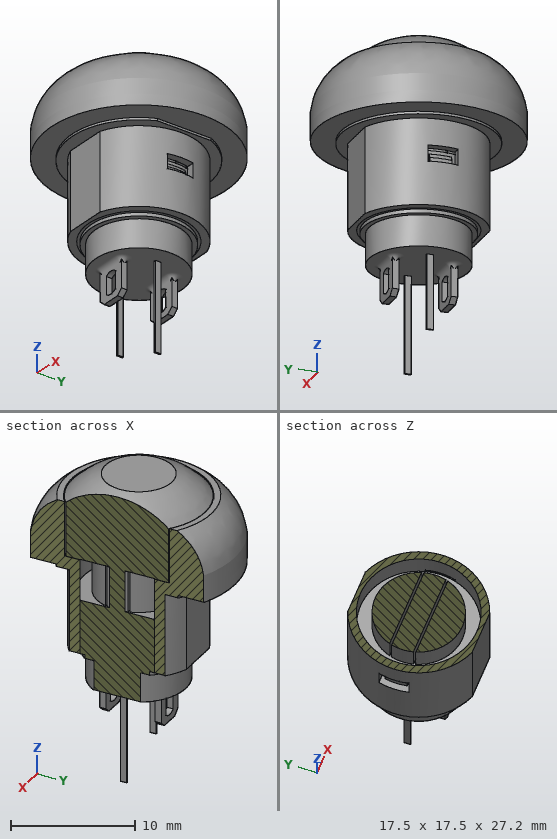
import cadquery as cq

TOP_Z = 27.2
RIM_Z = 25.21
BUTTON_EDGE_Z = 25.15
DOME_BASE_Z = 21.68
SEAM_Z = 20.2
BEZEL_BOTTOM_Z = 19.2
FLANGE_BOTTOM_Z = 18.99
WINDOW_TOP_Z = 16.67
INSERT_TOP_Z = 16.48
HOOK_TOP_Z = 16.18
HOOK_RAMP_BOTTOM_Z = 15.83
WINDOW_BOTTOM_Z = 15.3
BARREL_BOTTOM_Z = 11.5
COLLAR_BOTTOM_Z = 11.18
BASE_Z = 8.5
TAB_BOTTOM_Z = 5.1
SHORT_LEAD_BOTTOM_Z = 2.0

BEZEL_RADIUS = 17.5 / 2
RIM_RADIUS = 6.6
DOME_MID_RADIUS = 8.05
DOME_MID_Z = 23.7
BUTTON_WELL_RADIUS = 12.1 / 2
FLANGE_RADIUS = 6.7
FLANGE_FLAT_X = 6.12
BARREL_RADIUS = 5.75
BARREL_FLAT_Y = 5.39
BORE_RADIUS = 10.0 / 2
WINDOW_WIDTH = 2.58

BUTTON_RADIUS = 12.0 / 2
BUTTON_MID_RADIUS = 4.68
BUTTON_MID_Z = 26.33
BUTTON_FLAT_RADIUS = 3.02
LENS_RADIUS = 2.6 / 2
NECK_RADIUS = 7.55 / 2
NECK_SLIT_WIDTH = 0.15
NECK_SLIT_Y = 1.03
COLLAR_RADIUS = 9.5 / 2
BASE_RADIUS = 8.6 / 2
HOOK_RADIUS = 5.17
HOOK_WIDTH = 1.9

TERMINAL_OFFSET = 2.53
TERMINAL_WIDTH = 0.57
LEAD_THICKNESS = 0.15
TAB_WIDTH = 2.88
TAB_CORNER_X = 0.55
TAB_CORNER_Z = 0.5
EYE_WIDTH = 1.22
EYE_TOP_Z = 7.8
EYE_BOTTOM_Z = 5.68
EYE_ARC_RISE = 0.22
ROOT_FILLET = 0.55
ROOT_HEIGHT = 0.57
ROOT_PAD_HEIGHT = 0.27
SELECTION_MARGIN = 0.03


def centred_box(size_x, size_y, bottom_z, top_z, x=0.0, y=0.0):
    """Upright box centred on (x, y) between two heights."""
    height = top_z - bottom_z
    box = cq.Workplane("XY").box(size_x, size_y, height, centered=(True, True, False))
    return box.translate((x, y, bottom_z))


def cylinder(radius, bottom_z, top_z):
    """Cylinder on the switch axis between two heights."""
    return cq.Workplane("XY").workplane(offset=bottom_z).circle(radius).extrude(top_z - bottom_z)


def revolve_profile(profile):
    """Turn a closed half profile about the switch axis, keeping the seams between flush faces."""
    return profile.revolve(360, (0, 0, 0), (0, 1, 0), clean=False)


def make_bezel():
    """Domed ring around the button; the seam divides its straight side into two bands."""
    profile = (
        cq.Workplane("XZ")
        .moveTo(0, BEZEL_BOTTOM_Z)
        .lineTo(BEZEL_RADIUS, BEZEL_BOTTOM_Z)
        .lineTo(BEZEL_RADIUS, SEAM_Z)
        .lineTo(BEZEL_RADIUS, DOME_BASE_Z)
        .threePointArc((DOME_MID_RADIUS, DOME_MID_Z), (RIM_RADIUS, RIM_Z))
        .lineTo(0, RIM_Z)
        .close()
    )
    return revolve_profile(profile)


def make_flange():
    """Thin disc under the bezel with a locating flat on +X."""
    disc = cylinder(FLANGE_RADIUS, FLANGE_BOTTOM_Z, BEZEL_BOTTOM_Z)
    span = 2 * FLANGE_RADIUS
    keep = centred_box(span, span, FLANGE_BOTTOM_Z, BEZEL_BOTTOM_Z, x=FLANGE_FLAT_X - FLANGE_RADIUS)
    return disc.intersect(keep)


def make_barrel():
    """Barrel with two opposite flats."""
    barrel = cylinder(BARREL_RADIUS, BARREL_BOTTOM_Z, FLANGE_BOTTOM_Z)
    keep = centred_box(2 * BARREL_RADIUS, 2 * BARREL_FLAT_Y, BARREL_BOTTOM_Z, FLANGE_BOTTOM_Z)
    return barrel.intersect(keep)


def make_housing():
    """Hollow shell with a button well, an insert bore and a snap window on each X side."""
    bore = cylinder(BORE_RADIUS, BARREL_BOTTOM_Z, SEAM_Z)
    well = cylinder(BUTTON_WELL_RADIUS, SEAM_Z, RIM_Z)
    windows = centred_box(2 * FLANGE_RADIUS, WINDOW_WIDTH, WINDOW_BOTTOM_Z, WINDOW_TOP_Z)
    shell = make_bezel().union(make_flange(), clean=False).union(make_barrel(), clean=False)
    return shell.cut(bore, clean=False).cut(well, clean=False).cut(windows, clean=False)


def make_core_body():
    """Turned shape of button, neck and insert; the lens is flush with the button's flat top."""
    profile = (
        cq.Workplane("XZ")
        .moveTo(0, BASE_Z)
        .lineTo(BASE_RADIUS, BASE_Z)
        .lineTo(BASE_RADIUS, COLLAR_BOTTOM_Z)
        .lineTo(COLLAR_RADIUS, COLLAR_BOTTOM_Z)
        .lineTo(COLLAR_RADIUS, BARREL_BOTTOM_Z)
        .lineTo(BORE_RADIUS, BARREL_BOTTOM_Z)
        .lineTo(BORE_RADIUS, INSERT_TOP_Z)
        .lineTo(NECK_RADIUS, INSERT_TOP_Z)
        .lineTo(NECK_RADIUS, SEAM_Z)
        .lineTo(BUTTON_RADIUS, SEAM_Z)
        .lineTo(BUTTON_RADIUS, BUTTON_EDGE_Z)
        .threePointArc((BUTTON_MID_RADIUS, BUTTON_MID_Z), (BUTTON_FLAT_RADIUS, TOP_Z))
        .lineTo(LENS_RADIUS, TOP_Z)
        .lineTo(0, TOP_Z)
        .close()
    )
    return revolve_profile(profile)


def make_hooks():
    """Pair of snap hooks on the insert, ramped on top and resting on the window sills."""
    profile = (
        cq.Workplane("XZ")
        .moveTo(0, WINDOW_BOTTOM_Z)
        .lineTo(HOOK_RADIUS, WINDOW_BOTTOM_Z)
        .lineTo(HOOK_RADIUS, HOOK_RAMP_BOTTOM_Z)
        .lineTo(BORE_RADIUS, HOOK_TOP_Z)
        .lineTo(0, HOOK_TOP_Z)
        .close()
    )
    ring = revolve_profile(profile)
    return ring.intersect(centred_box(2 * HOOK_RADIUS, HOOK_WIDTH, WINDOW_BOTTOM_Z, HOOK_TOP_Z))


def make_tab(y):
    """Solder tab with clipped lower corners, a long eye and a filleted root."""
    half_width = TAB_WIDTH / 2
    corner_x = half_width - TAB_CORNER_X
    corner_z = TAB_BOTTOM_Z + TAB_CORNER_Z
    plate = (
        cq.Workplane("XZ")
        .polyline([
            (-half_width, BASE_Z),
            (-half_width, corner_z),
            (-corner_x, TAB_BOTTOM_Z),
            (corner_x, TAB_BOTTOM_Z),
            (half_width, corner_z),
            (half_width, BASE_Z),
        ])
        .close()
        .extrude(TERMINAL_WIDTH / 2, both=True)
    )
    half_eye = EYE_WIDTH / 2
    eye = (
        cq.Workplane("XZ")
        .moveTo(-half_eye, EYE_BOTTOM_Z + EYE_ARC_RISE)
        .threePointArc((0, EYE_BOTTOM_Z), (half_eye, EYE_BOTTOM_Z + EYE_ARC_RISE))
        .lineTo(half_eye, EYE_TOP_Z - EYE_ARC_RISE)
        .threePointArc((0, EYE_TOP_Z), (-half_eye, EYE_TOP_Z - EYE_ARC_RISE))
        .close()
        .extrude(TERMINAL_WIDTH, both=True)
    )
    return plate.cut(eye).translate((0, y, 0))


def make_tab_root(y):
    """Round-ended root around a tab, flaring into the base through a concave fillet."""
    root = (
        cq.Workplane("XY")
        .workplane(offset=BASE_Z - ROOT_HEIGHT)
        .slot2D(TAB_WIDTH, TERMINAL_WIDTH)
        .extrude(ROOT_HEIGHT)
    )
    margin = 2 * ROOT_FILLET + ROOT_PAD_HEIGHT
    pad = centred_box(TAB_WIDTH + margin, TERMINAL_WIDTH + margin, BASE_Z, BASE_Z + ROOT_PAD_HEIGHT)
    reach_x = TAB_WIDTH / 2 + SELECTION_MARGIN
    reach_y = TERMINAL_WIDTH / 2 + SELECTION_MARGIN
    corner = cq.selectors.BoxSelector(
        (-reach_x, -reach_y, BASE_Z - SELECTION_MARGIN),
        (reach_x, reach_y, BASE_Z + SELECTION_MARGIN),
    )
    return root.union(pad).edges(corner).fillet(ROOT_FILLET).translate((0, y, 0))


def make_lead(x, bottom_z):
    """Flat straight lead below the base."""
    return centred_box(LEAD_THICKNESS, TERMINAL_WIDTH, bottom_z, BASE_Z, x=x)


def make_core():
    """Button, neck and insert in one piece, with slits along the neck and four terminals."""
    core = make_core_body().union(make_hooks(), clean=False)
    for side in (-1, 1):
        slit = centred_box(
            2 * NECK_RADIUS, NECK_SLIT_WIDTH, INSERT_TOP_Z, SEAM_Z, y=side * NECK_SLIT_Y
        )
        core = core.cut(slit, clean=False)
        tab_y = side * TERMINAL_OFFSET
        core = core.union(make_tab_root(tab_y), clean=False).union(make_tab(tab_y), clean=False)
    core = core.union(make_lead(-TERMINAL_OFFSET, SHORT_LEAD_BOTTOM_Z), clean=False)
    return core.union(make_lead(TERMINAL_OFFSET, 0.0), clean=False)


housing = make_housing()
core = make_core()
result = cq.Compound.makeCompound([*housing.solids().vals(), *core.solids().vals()])